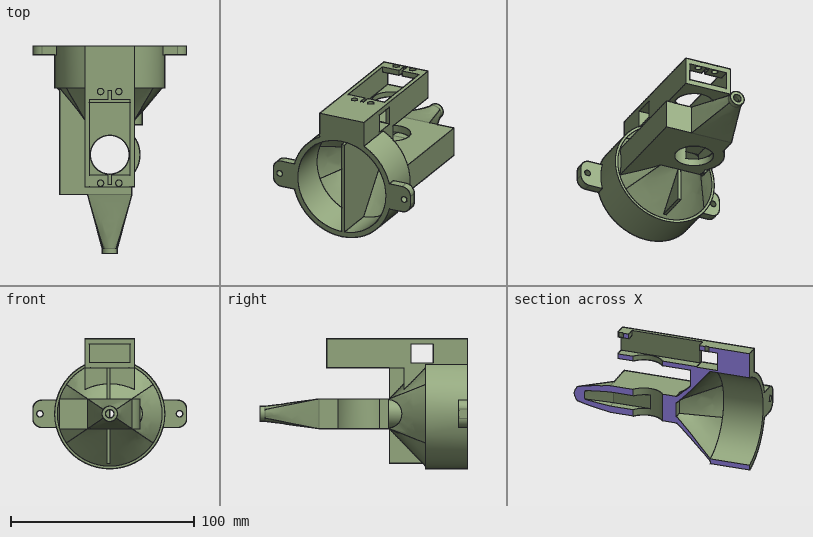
import cadquery as cq
import math

TOTAL_LENGTH = 113.3

CUP_RADIUS = 30.0
CUP_BORE_RADIUS = 27.0
CUP_DEPTH = 23.0
FUNNEL_RADIUS = 28.6
FUNNEL_END = 42.7

EAR_SPAN = 84.0
EAR_WIDTH = 15.1
EAR_THICKNESS = 4.9
EAR_CORNER_RADIUS = 5.0
EAR_HOLE_SPACING = 76.2
EAR_HOLE_DIAMETER = 3.4

DUCT_HALF_WIDTH = 12.1
DUCT_SIDE_REACH = 27.3
DUCT_HEIGHT = 16.3
DUCT_END = 81.1
DUCT_SIDE_WALL = 1.5
DUCT_LID = 4.1
VALVE_DEPTH = 59.4
VALVE_BORE_DIAMETER = 21.1
VALVE_HOUSING_RADIUS = 16.5
SIDE_BOSS_CENTER_X = 9.6
SIDE_BOSS_RADIUS = DUCT_HEIGHT / 2
SIDE_BOSS_END = 43.2
NOZZLE_COLLAR_RADIUS = 4.2
NOZZLE_COLLAR_LENGTH = 2.8
NOZZLE_BORE_RADIUS = 2.3
NOZZLE_END = TOTAL_LENGTH - NOZZLE_COLLAR_LENGTH

DIVIDER_THICKNESS = 1.7
DIVIDER_RIGHT_X = 0.1
DIVIDER_BOTTOM = -CUP_BORE_RADIUS

BOX_TOP = 41.0
BOX_WIDTH = 27.1
BOX_HEIGHT = 16.0
BOX_LENGTH = 77.0
BOX_BOTTOM = BOX_TOP - BOX_HEIGHT
BOX_WALL = 3.1
SADDLE_END = 34.8
CHANNEL_WIDTH = 22.3
CHANNEL_TOP = BOX_TOP - BOX_WALL
CHANNEL_BOTTOM = BOX_BOTTOM + BOX_WALL
WINDOW_START = 18.8
WINDOW_END = 30.8
WINDOW_FLOOR_STEP = 0.3
POCKET_START = 29.4
POCKET_END = 70.5
SLOT_WIDTH = 1.8
SLOT_LENGTH = 5.1
SCREW_SPACING_X = 10.0
SCREW_OVERHANG = 4.4
SCREW_HOLE_DIAMETER = 3.5


def block(x_range, depth_range, z_range):
    """Box spanning the given X, depth and Z ranges."""
    x0, x1 = x_range
    d0, d1 = depth_range
    z0, z1 = z_range
    return cq.Workplane("XY").box(x1 - x0, d1 - d0, z1 - z0, centered=False).translate((x0, -d1, z0))


def centered_block(width, depth_range, z_range):
    return block((-width / 2, width / 2), depth_range, z_range)


def rod(radius, depth_range, x=0.0):
    """Round bar along Y at height Z = 0."""
    d0, d1 = depth_range
    return cq.Workplane("XZ", origin=(x, -d0, 0)).circle(radius).extrude(d1 - d0)


def post(radius, x, depth, z_range):
    """Round bar along Z."""
    z0, z1 = z_range
    return cq.Workplane("XY", origin=(x, -depth, z0)).circle(radius).extrude(z1 - z0)


def round_to_rectangle(radius, round_depth, half_width, half_height, rectangle_depth):
    """Ruled transition whose four creases join the rectangle corners to the circle."""
    crease = math.atan2(half_height, half_width)
    corner_angles = [crease, math.pi - crease, math.pi + crease, 2 * math.pi - crease]
    mid_angles = [math.pi / 2, math.pi, 3 * math.pi / 2, 2 * math.pi]

    def on_circle(angle):
        return cq.Vector(radius * math.cos(angle), -round_depth, radius * math.sin(angle))

    corners = [
        cq.Vector(sx * half_width, -rectangle_depth, sz * half_height)
        for sx, sz in ((1, 1), (-1, 1), (-1, -1), (1, -1))
    ]
    arcs = []
    sides = []
    for i in range(4):
        following = (i + 1) % 4
        start, end = on_circle(corner_angles[i]), on_circle(corner_angles[following])
        arcs.append(cq.Edge.makeThreePointArc(start, on_circle(mid_angles[i]), end))
        sides.append(cq.Edge.makeLine(corners[i], corners[following]))
    walls = [cq.Face.makeRuledSurface(arc, side) for arc, side in zip(arcs, sides)]
    ends = [cq.Face.makeFromWires(cq.Wire.assembleEdges(edges)) for edges in (arcs, sides)]
    shell = cq.Shell.makeShell(walls + ends)
    return cq.Workplane(cq.Solid.makeSolid(shell).fix())


def mounting_ears():
    ears = cq.Workplane("XZ").rect(EAR_SPAN, EAR_WIDTH).extrude(EAR_THICKNESS)
    ears = ears.edges("|Y").fillet(EAR_CORNER_RADIUS)
    holes = cq.Workplane("XZ").rarray(EAR_HOLE_SPACING, 1.1, 2, 1).circle(EAR_HOLE_DIAMETER / 2)
    return ears.cut(holes.extrude(EAR_THICKNESS))


def outer_body():
    half_height = DUCT_HEIGHT / 2
    duct_z = (-half_height, half_height)
    body = rod(CUP_RADIUS, (0, CUP_DEPTH)).union(mounting_ears())
    body = body.union(
        round_to_rectangle(FUNNEL_RADIUS, CUP_DEPTH, DUCT_HALF_WIDTH, half_height, FUNNEL_END)
    )
    body = body.union(block((-DUCT_SIDE_REACH, DUCT_HALF_WIDTH), (CUP_DEPTH, DUCT_END), duct_z))
    body = body.union(post(VALVE_HOUSING_RADIUS, 0, VALVE_DEPTH, duct_z))
    body = body.union(rod(SIDE_BOSS_RADIUS, (CUP_DEPTH, SIDE_BOSS_END), SIDE_BOSS_CENTER_X))
    body = body.union(
        round_to_rectangle(NOZZLE_COLLAR_RADIUS, NOZZLE_END, DUCT_HALF_WIDTH, half_height, DUCT_END)
    )
    body = body.union(rod(NOZZLE_COLLAR_RADIUS, (NOZZLE_END, TOTAL_LENGTH)))
    saddle = centered_block(BOX_WIDTH, (0, SADDLE_END), (0, BOX_BOTTOM))
    housing = centered_block(BOX_WIDTH, (0, BOX_LENGTH), (BOX_BOTTOM, BOX_TOP))
    return body.union(saddle).union(housing)


def airway():
    """Cup bore, funnel, half-width duct passage, valve-to-nozzle passage and tip bore."""
    half_width = DUCT_HALF_WIDTH - DUCT_SIDE_WALL
    half_height = DUCT_HEIGHT / 2 - DUCT_LID
    passage_z = (-half_height, half_height)
    space = rod(CUP_BORE_RADIUS, (0, CUP_DEPTH))
    space = space.union(
        round_to_rectangle(CUP_BORE_RADIUS, CUP_DEPTH, half_width, half_height, FUNNEL_END)
    )
    space = space.union(block((DIVIDER_RIGHT_X, half_width), (FUNNEL_END, VALVE_DEPTH), passage_z))
    space = space.union(centered_block(2 * half_width, (VALVE_DEPTH, DUCT_END), passage_z))
    space = space.union(
        round_to_rectangle(NOZZLE_BORE_RADIUS, NOZZLE_END, half_width, half_height, DUCT_END)
    )
    return space.union(rod(NOZZLE_BORE_RADIUS, (NOZZLE_END, TOTAL_LENGTH)))


def divider():
    return block(
        (DIVIDER_RIGHT_X - DIVIDER_THICKNESS, DIVIDER_RIGHT_X),
        (0, FUNNEL_END),
        (DIVIDER_BOTTOM, BOX_BOTTOM),
    )


def servo_space():
    """Channel open at the front, side window, top pocket with cable slots, and screw holes."""
    lid = (CHANNEL_TOP, BOX_TOP)
    space = centered_block(CHANNEL_WIDTH, (WINDOW_START, BOX_LENGTH), (CHANNEL_BOTTOM, CHANNEL_TOP))
    window_z = (CHANNEL_BOTTOM - WINDOW_FLOOR_STEP, CHANNEL_TOP)
    space = space.union(centered_block(BOX_WIDTH, (WINDOW_START, WINDOW_END), window_z))
    space = space.union(centered_block(CHANNEL_WIDTH, (POCKET_START, POCKET_END), lid))
    slots = (POCKET_START - SLOT_LENGTH, POCKET_END + SLOT_LENGTH)
    space = space.union(centered_block(SLOT_WIDTH, slots, lid))
    for x in (-SCREW_SPACING_X / 2, SCREW_SPACING_X / 2):
        for depth in (POCKET_START - SCREW_OVERHANG, POCKET_END + SCREW_OVERHANG):
            space = space.union(post(SCREW_HOLE_DIAMETER / 2, x, depth, lid))
    return space


valve_bore = post(VALVE_BORE_DIAMETER / 2, 0, VALVE_DEPTH, (-DUCT_HEIGHT / 2, CHANNEL_BOTTOM))

result = outer_body().cut(airway()).union(divider()).cut(servo_space()).cut(valve_bore)